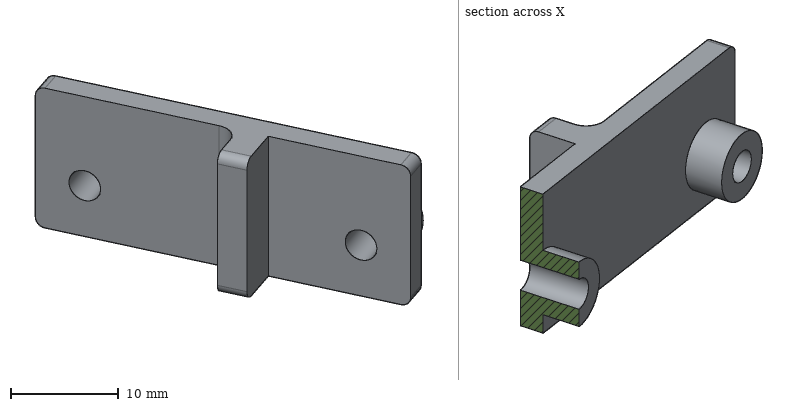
import cadquery as cq

plate_length = 38.0
plate_height = 15.0
plate_thickness = 2.5
corner_radius = 1.0

rib_left = 20.6
rib_thickness = 3.0
rib_depth = 5.0
root_radius = 2.0

boss_diameter = 7.0
boss_length = 4.0
hole_diameter = 3.2
hole_inset = 5.0
hole_height = 5.47

rib_right = rib_left + rib_thickness
plate_front = -plate_thickness
rib_front = plate_front - rib_depth
hole_places = [(x, hole_height) for x in (hole_inset, plate_length - hole_inset)]


def make_plate():
    """Upright plate with rounded corners."""
    plate = cq.Workplane("XY").box(plate_length, plate_thickness, plate_height, centered=False)
    return plate.translate((0, plate_front, 0)).edges("|Y").fillet(corner_radius)


def make_rib():
    """Rib with rounded front corners and, on its left side only, a concave root."""
    rib = cq.Workplane("XY").box(rib_thickness, rib_depth, plate_height, centered=False)
    rib = rib.translate((rib_left, rib_front, 0)).edges("<Y and |X").fillet(corner_radius)
    root = (
        cq.Workplane("XY")
        .moveTo(rib_left, plate_front)
        .lineTo(rib_left - root_radius, plate_front)
        .radiusArc((rib_left, plate_front - root_radius), root_radius)
        .close()
        .extrude(plate_height)
    )
    return rib.union(root)


def make_cylinders(diameter, y_start, y_end):
    """Cylinders along Y at both hole places."""
    return (
        cq.Workplane("XZ", origin=(0, y_start, 0))
        .pushPoints(hole_places)
        .circle(diameter / 2)
        .extrude(y_start - y_end)
    )


bosses = make_cylinders(boss_diameter, plate_front, boss_length)
holes = make_cylinders(hole_diameter, plate_front, boss_length)

result = make_plate().union(make_rib()).union(bosses).cut(holes)